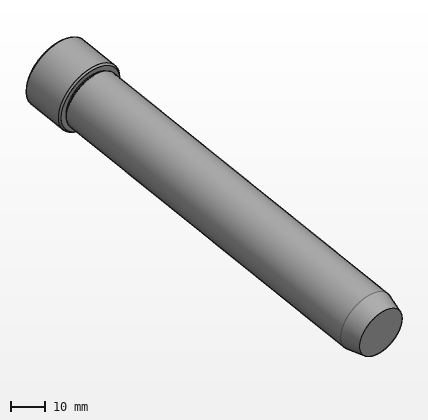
import cadquery as cq
import math

total_length = 140.0
head_diameter = 24.0
head_length = 15.0
head_chamfer = 0.5
shaft_diameter = 20.0
relief_width = 0.7
relief_depth = 0.4
tip_length = 6.3
tip_angle = 15.0

head_radius = head_diameter / 2
shaft_radius = shaft_diameter / 2
relief_radius = shaft_radius - relief_depth
tip_radius = shaft_radius - tip_length * math.tan(math.radians(tip_angle))


def cylinder(start, length, radius):
    """Round bar along +X beginning at X = start."""
    return cq.Workplane("YZ").workplane(offset=start).circle(radius).extrude(length)


def make_head():
    """Head with both rims chamfered."""
    return cylinder(0, head_length, head_radius).edges().chamfer(head_chamfer)


def make_relief():
    """Narrow neck between the head and the shaft."""
    return cylinder(head_length, relief_width, relief_radius)


def make_shaft():
    """Plain shaft ending in a tapered lead-in tip."""
    shaft_start = head_length + relief_width
    tip_start = total_length - tip_length
    body = cylinder(shaft_start, tip_start - shaft_start, shaft_radius)
    tip = (
        cq.Workplane("XY")
        .moveTo(tip_start, 0)
        .lineTo(tip_start, shaft_radius)
        .lineTo(total_length, tip_radius)
        .lineTo(total_length, 0)
        .close()
        .revolve(360, (0, 0, 0), (1, 0, 0))
    )
    return body.union(tip)


result = make_head().union(make_relief()).union(make_shaft())